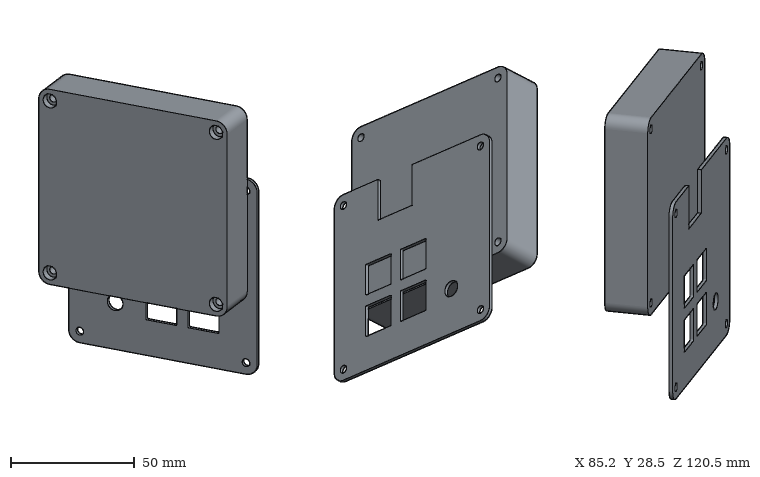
import cadquery as cq

side = 85.2
corner_radius = 5.0
screw_inset = 5.0
screw_spacing = side - 2 * screw_inset
screw_hole_diameter = 3.4

total_height = 120.5
total_depth = 28.5
plate_center_z = side / 2
case_center_z = total_height - side / 2

case_depth = 18.1
head_diameter = 6.0
head_depth = 3.3

plate_thickness = 1.6
switch_size = 14.0
switch_corner_radius = 0.5
switch_pitch = 19.0
switch_columns = 2
switch_rows = 2
first_switch_x = -0.7
first_switch_z = 22.5
encoder_diameter = 7.0
encoder_x = -21.6
encoder_z = 20.5

notch_width = 18.7
notch_height = notch_width
notch_left_x = -0.1


def square_block(front_y, center_z, depth):
    """Rounded square block reaching from front_y toward +Y."""
    block = cq.Workplane("XY").box(side, depth, side)
    block = block.edges("|Y").fillet(corner_radius)
    return block.translate((0, front_y + depth / 2, center_z))


def cylinder(x, z, front_y, diameter, depth):
    """Round cutter along Y, starting at front_y and reaching toward +Y."""
    return cq.Workplane("XZ", origin=(x, front_y, z)).circle(diameter / 2).extrude(-depth)


def box_cutter(x, z, front_y, width, height, depth):
    """Rectangular cutter centred on x and z, reaching from front_y toward +Y."""
    return cq.Workplane("XY").box(width, depth, height).translate((x, front_y + depth / 2, z))


def screw_positions(center_z):
    """Axes of the four corner screws as (x, z) pairs."""
    offset = screw_spacing / 2
    return [(sx * offset, center_z + sz * offset) for sx in (-1, 1) for sz in (-1, 1)]


def make_case():
    front_y = 0.0
    case = square_block(front_y, case_center_z, case_depth)
    for x, z in screw_positions(case_center_z):
        case = case.cut(cylinder(x, z, front_y, screw_hole_diameter, case_depth))
        case = case.cut(cylinder(x, z, front_y, head_diameter, head_depth))
    return case


def make_plate():
    front_y = total_depth - plate_thickness
    plate = square_block(front_y, plate_center_z, plate_thickness)

    for x, z in screw_positions(plate_center_z):
        plate = plate.cut(cylinder(x, z, front_y, screw_hole_diameter, plate_thickness))

    for column in range(switch_columns):
        for row in range(switch_rows):
            x = first_switch_x + column * switch_pitch
            z = first_switch_z + row * switch_pitch
            opening = box_cutter(x, z, front_y, switch_size, switch_size, plate_thickness)
            plate = plate.cut(opening.edges("|Y").fillet(switch_corner_radius))

    plate = plate.cut(cylinder(encoder_x, encoder_z, front_y, encoder_diameter, plate_thickness))

    notch_x = notch_left_x + notch_width / 2
    notch_z = side - notch_height / 2
    return plate.cut(box_cutter(notch_x, notch_z, front_y, notch_width, notch_height, plate_thickness))


case = make_case()
plate = make_plate()

result = cq.Compound.makeCompound([case.val(), plate.val()])